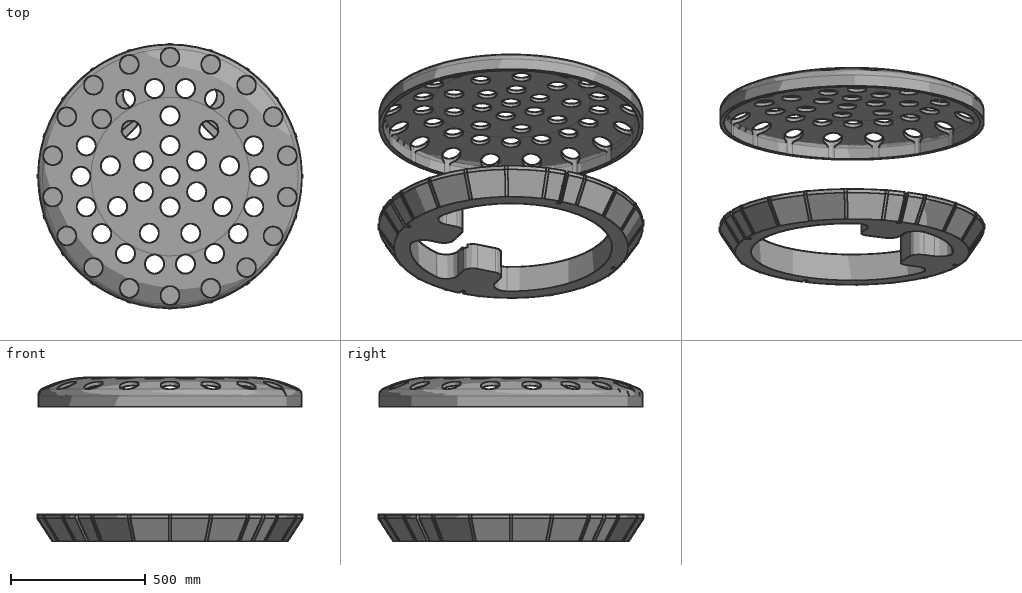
import cadquery as cq
import math

TOTAL_HEIGHT = 610.0

COVER_RADIUS = 980.0 / 2
COVER_HEIGHT = 110.0
COVER_WALL = 15.0
SKIRT_HEIGHT = 42.0
SKIRT_FILLET = 29.0
FLAT_TOP_RADIUS = 295.0
HOLE_DIAMETER = 70.0
HOLE_ROWS = [
    (0, 1, 0),
    (114.0, 6, 90),
    (225.0, 9, 90),
    (331.0, 18, 0),
    (442.0, 18, 90),
]

RING_HEIGHT = 100.0
RING_TOP_RADIUS = COVER_RADIUS
RING_BOTTOM_RADIUS = 434.0
RING_BORE_RADIUS = 375.0
LIP_HEIGHT = 15.0

RIB_COUNT = 20
RIB_WIDTH = 11.0
RIB_PROJECTION = 2.5
RIB_ROOT = 10.0
SLOT_COUNT = 4
SLOT_FIRST_ANGLE = 45
SLOT_WIDTH = 14.0
SLOT_DEPTH = 22.0
SLOT_FLOOR_CHAMFER = 4.0

TAB_ANGLES = (45, 135)
TAB_WIDTH = 152.0
TAB_END_DISTANCE = 219.0
TAB_ROOT_FILLET = 49.0
TAB_CORNER_FILLET = 39.0
TAB_GROOVE_INNER_RADIUS = 246.0
TAB_GROOVE_OUTER_RADIUS = 276.0
TAB_GROOVE_DEPTH = 10.0

OVERLAP = 10.0


def around(body, count, first_angle):
    """Solids copied from `body`, spaced evenly around the Z axis."""
    step = 360 / count
    return [body.rotate((0, 0, 0), (0, 0, 1), first_angle + i * step).val() for i in range(count)]


def dome_solid(inset):
    """Solid of revolution bounded by the cover's outer surface moved inwards by `inset`."""
    fillet_center_r = COVER_RADIUS - SKIRT_FILLET
    run = fillet_center_r - FLAT_TOP_RADIUS
    rise = COVER_HEIGHT - SKIRT_HEIGHT
    shoulder_radius = (run**2 + rise**2 - SKIRT_FILLET**2) / (2 * (rise - SKIRT_FILLET))
    shoulder_center_z = COVER_HEIGHT - shoulder_radius
    shoulder_angle = math.asin(run / (shoulder_radius - SKIRT_FILLET))

    def on_shoulder(angle):
        radius = shoulder_radius - inset
        return FLAT_TOP_RADIUS + radius * math.sin(angle), shoulder_center_z + radius * math.cos(angle)

    def on_fillet(angle):
        radius = SKIRT_FILLET - inset
        return fillet_center_r + radius * math.sin(angle), SKIRT_HEIGHT + radius * math.cos(angle)

    quarter_turn = math.pi / 2
    profile = (
        cq.Workplane("XZ")
        .moveTo(0, 0)
        .lineTo(COVER_RADIUS - inset, 0)
        .lineTo(COVER_RADIUS - inset, SKIRT_HEIGHT)
        .threePointArc(on_fillet((shoulder_angle + quarter_turn) / 2), on_fillet(shoulder_angle))
        .threePointArc(on_shoulder(shoulder_angle / 2), on_shoulder(0))
        .lineTo(0, COVER_HEIGHT - inset)
        .close()
    )
    return profile.revolve(360, (0, 0, 0), (0, 1, 0))


def hole_row(row_radius, count, first_angle):
    """Upright cylinders spaced evenly on a circle around the Z axis."""
    first_hole = cq.Workplane("XY").center(row_radius, 0).circle(HOLE_DIAMETER / 2).extrude(COVER_HEIGHT)
    return around(first_hole, count, first_angle)


def make_cover():
    shell = dome_solid(0).cut(dome_solid(COVER_WALL)).val()
    holes = []
    for row_radius, count, first_angle in HOLE_ROWS:
        holes += hole_row(row_radius, count, first_angle)
    cover = cq.Workplane(shell.cut(*holes))
    return cover.translate((0, 0, TOTAL_HEIGHT - COVER_HEIGHT))


def ring_blank():
    """Lip and cone of the ring, still without its bore."""
    return (
        cq.Workplane("XZ")
        .polyline(
            [
                (0, 0),
                (RING_BOTTOM_RADIUS, 0),
                (RING_TOP_RADIUS, RING_HEIGHT - LIP_HEIGHT),
                (RING_TOP_RADIUS, RING_HEIGHT),
                (0, RING_HEIGHT),
            ]
        )
        .close()
        .revolve(360, (0, 0, 0), (0, 1, 0))
    )


def rim_strip(section):
    """Strip on the +X side that follows the cone and the lip.

    The section is a horizontal outline whose X values are measured from the ring's outer surface.
    """
    cone_height = RING_HEIGHT - LIP_HEIGHT
    bottom = cq.Face.makeFromWires(cq.Wire.makePolygon([cq.Vector(x, y, 0) for x, y in section], close=True))
    along_cone = cq.Vector(RING_TOP_RADIUS - RING_BOTTOM_RADIUS, 0, cone_height)
    start = cq.Vector(RING_BOTTOM_RADIUS, 0, 0)
    on_cone = cq.Solid.extrudeLinear(bottom.translate(start), along_cone)
    on_lip = cq.Solid.extrudeLinear(bottom.translate(start + along_cone), cq.Vector(0, 0, LIP_HEIGHT))
    return cq.Workplane(on_cone).union(cq.Workplane(on_lip))


def make_rib():
    half_width = RIB_WIDTH / 2
    return rim_strip(
        [
            (-RIB_ROOT, -half_width),
            (RIB_PROJECTION, -half_width),
            (RIB_PROJECTION, half_width),
            (-RIB_ROOT, half_width),
        ]
    )


def slot_cutter():
    """Cutter for one slot, with both corners of the slot's floor chamfered."""
    half_width = SLOT_WIDTH / 2
    floor_half_width = half_width - SLOT_FLOOR_CHAMFER
    chamfer_start = SLOT_FLOOR_CHAMFER - SLOT_DEPTH
    return rim_strip(
        [
            (OVERLAP, -half_width),
            (OVERLAP, half_width),
            (chamfer_start, half_width),
            (-SLOT_DEPTH, floor_half_width),
            (-SLOT_DEPTH, -floor_half_width),
            (chamfer_start, -half_width),
        ]
    )


def tab_groove():
    """Shallow annular groove in the top of the tabs, concentric with the ring."""
    return (
        cq.Workplane("XY")
        .workplane(offset=RING_HEIGHT - TAB_GROOVE_DEPTH)
        .circle(TAB_GROOVE_OUTER_RADIUS)
        .circle(TAB_GROOVE_INNER_RADIUS)
        .extrude(TAB_GROOVE_DEPTH)
    )


def make_tab(angle):
    """Tab along the given angle, with rounded free corners and filleted roots."""
    half_width = TAB_WIDTH / 2
    fillet_y = half_width + TAB_ROOT_FILLET
    bore_to_center = RING_BORE_RADIUS - TAB_ROOT_FILLET
    fillet_angle = math.asin(fillet_y / bore_to_center)
    fillet_x = bore_to_center * math.cos(fillet_angle)
    mid_angle = (fillet_angle - math.pi / 2) / 2

    def on_fillet(turn):
        return fillet_x + TAB_ROOT_FILLET * math.cos(turn), fillet_y + TAB_ROOT_FILLET * math.sin(turn)

    def mirrored(point):
        return point[0], -point[1]

    root = on_fillet(fillet_angle)
    middle = on_fillet(mid_angle)
    outline = (
        cq.Workplane("XY")
        .moveTo(TAB_END_DISTANCE, -half_width)
        .lineTo(fillet_x, -half_width)
        .threePointArc(mirrored(middle), mirrored(root))
        .lineTo(RING_BORE_RADIUS + OVERLAP, -root[1])
        .lineTo(RING_BORE_RADIUS + OVERLAP, root[1])
        .lineTo(*root)
        .threePointArc(middle, (fillet_x, half_width))
        .lineTo(TAB_END_DISTANCE, half_width)
        .close()
    )
    tab = outline.extrude(RING_HEIGHT).edges("|Z and <X").fillet(TAB_CORNER_FILLET)
    return tab.rotate((0, 0, 0), (0, 0, 1), angle)


def make_ring():
    ring = ring_blank().cut(cq.Workplane("XY").circle(RING_BORE_RADIUS).extrude(RING_HEIGHT))
    for angle in TAB_ANGLES:
        ring = ring.union(make_tab(angle))
    ring = ring.cut(tab_groove())
    ribs = around(make_rib(), RIB_COUNT, 0)
    slots = around(slot_cutter(), SLOT_COUNT, SLOT_FIRST_ANGLE)
    return cq.Workplane(ring.val().fuse(*ribs).cut(*slots)).clean()


cover = make_cover()
ring = make_ring()
result = cq.Compound.makeCompound([*cover.solids().vals(), *ring.solids().vals()])